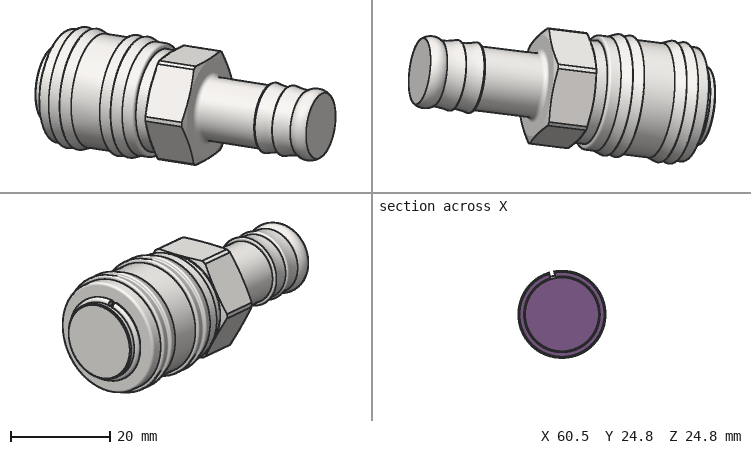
import cadquery as cq
import math


TOTAL_LENGTH = 60.5

NOSE_DIAMETER = 16.0
NOSE_CHAMFER = 0.25
NECK_DIAMETER = 21.0
SHOULDER_X = 13.3

RING_GROOVE_X = 1.2
RING_GROOVE_DIAMETER = 14.95
RING_OUTER_DIAMETER = 17.65
RING_WIRE_DIAMETER = 1.45
RING_CENTRE_X = RING_GROOVE_X + RING_WIRE_DIAMETER / 2
RING_CENTRE_DIAMETER = RING_OUTER_DIAMETER - RING_WIRE_DIAMETER
RING_GAP_WIDTH = 1.0
RING_GAP_ANGLE = 13.8

HEX_START_X = 26.45
HEX_END_X = 35.45
HEX_ACROSS_FLATS = NECK_DIAMETER
HEX_FACE_DIAMETER = 20.6
HEX_CORNER_DIAMETER = 23.7
HEX_CHAMFER_ANGLE = 15.0

TAIL_DIAMETER = 13.0
TAIL_ROOT_FILLET = 1.0
BARB_DIAMETER = 14.45
BARB_LIP_RADIUS = 0.35
BARB_FOOT_DIAMETER = 13.45
BARB_FACES_X = (48.9, 52.95)
BARB_FEET_X = (52.5, 56.95)
BEAD_DIAMETER = 14.7

SLEEVE_START_X = 2.65
SLEEVE_END_X = 24.1
SLEEVE_DIAMETER = 23.3
SLEEVE_END_FILLET = 0.55
NOSE_BORE_DIAMETER = 16.1
BORE_MOUTH_DIAMETER = 16.65
NECK_BORE_DIAMETER = 21.1

RIDGE_PAIR_STARTS_X = (5.2, 16.7)
RIDGE_LENGTH = 2.4
RIDGE_POINT_DIAMETER = 25.1
RIDGE_POINT_FILLET = 0.35
RIDGE_VALLEY_FILLET = 0.25


def revolve_about_x(outline):
    """Turn a closed outline, drawn as (x, radius), into a solid around the X axis."""
    return outline.close().revolve(360, (0, 0, 0), (1, 0, 0))


def cylinder_along_x(start_x, end_x, diameter):
    return cq.Workplane("YZ", origin=(start_x, 0, 0)).circle(diameter / 2).extrude(end_x - start_x)


def fillet_circle(solid, x, diameter, fillet_radius):
    """Round the one circular edge that has this place along X and this diameter."""
    tolerance = 0.005

    def is_wanted(edge):
        return (
            edge.geomType() == "CIRCLE"
            and abs(edge.Center().x - x) < tolerance
            and abs(edge.radius() - diameter / 2) < tolerance
        )

    wanted = [edge for edge in solid.edges().vals() if is_wanted(edge)]
    return solid.newObject(wanted).fillet(fillet_radius)



def make_nose_and_neck():
    nose = cylinder_along_x(0, SHOULDER_X, NOSE_DIAMETER).faces("<X").chamfer(NOSE_CHAMFER)
    neck = cylinder_along_x(SHOULDER_X, HEX_START_X, NECK_DIAMETER)
    groove_end_x = RING_GROOVE_X + RING_WIRE_DIAMETER
    groove = cylinder_along_x(RING_GROOVE_X, groove_end_x, NOSE_DIAMETER).cut(
        cylinder_along_x(RING_GROOVE_X, groove_end_x, RING_GROOVE_DIAMETER)
    )
    return nose.cut(groove).union(neck)


def make_split_ring():
    """Hoop of round wire with a gap near the top."""
    hoop = (
        cq.Workplane("XY")
        .center(RING_CENTRE_X, RING_CENTRE_DIAMETER / 2)
        .circle(RING_WIRE_DIAMETER / 2)
        .revolve(360, (0, -RING_CENTRE_DIAMETER / 2, 0), (1, -RING_CENTRE_DIAMETER / 2, 0))
    )
    gap = (
        cq.Workplane("XY")
        .box(2 * RING_WIRE_DIAMETER, RING_GAP_WIDTH, 2 * RING_WIRE_DIAMETER)
        .translate((RING_CENTRE_X, 0, RING_CENTRE_DIAMETER / 2))
        .rotate((0, 0, 0), (1, 0, 0), RING_GAP_ANGLE)
    )
    return hoop.cut(gap)


def make_hexagon():
    """Hexagon with corners on +Y and -Y, turned to a cone at both ends and round at the corners."""
    across_corners = HEX_ACROSS_FLATS / math.cos(math.radians(30))
    prism = (
        cq.Workplane("YZ", origin=(HEX_START_X, 0, 0))
        .polygon(6, across_corners)
        .extrude(HEX_END_X - HEX_START_X)
    )
    face_radius = HEX_FACE_DIAMETER / 2
    corner_radius = HEX_CORNER_DIAMETER / 2
    chamfer_length = (corner_radius - face_radius) * math.tan(math.radians(HEX_CHAMFER_ANGLE))
    turned_blank = revolve_about_x(
        cq.Workplane("XY")
        .moveTo(HEX_START_X, 0)
        .lineTo(HEX_START_X, face_radius)
        .lineTo(HEX_START_X + chamfer_length, corner_radius)
        .lineTo(HEX_END_X - chamfer_length, corner_radius)
        .lineTo(HEX_END_X, face_radius)
        .lineTo(HEX_END_X, 0)
    )
    return prism.intersect(turned_blank)


def make_hose_tail():
    """Tail with a flared root, two barbs and a rounded bead at its end."""
    tail_radius = TAIL_DIAMETER / 2
    barb_radius = BARB_DIAMETER / 2
    foot_radius = BARB_FOOT_DIAMETER / 2
    outline = (
        cq.Workplane("XY")
        .moveTo(HEX_END_X, 0)
        .lineTo(HEX_END_X, tail_radius + TAIL_ROOT_FILLET)
        .radiusArc((HEX_END_X + TAIL_ROOT_FILLET, tail_radius), -TAIL_ROOT_FILLET)
        .lineTo(BARB_FACES_X[0], tail_radius)
    )
    for face_x, foot_x in zip(BARB_FACES_X, BARB_FEET_X):
        lip_end_x = face_x + BARB_LIP_RADIUS
        slope_length = foot_x - lip_end_x
        slope_drop = barb_radius - foot_radius
        slope_radius = (slope_length**2 + slope_drop**2) / (2 * slope_drop)
        outline = (
            outline.lineTo(face_x, foot_radius)
            .lineTo(face_x, barb_radius - BARB_LIP_RADIUS)
            .radiusArc((lip_end_x, barb_radius), BARB_LIP_RADIUS)
            .radiusArc((foot_x, foot_radius), -slope_radius)
        )
    bead_start_x = BARB_FEET_X[-1]
    bead_middle_x = (bead_start_x + TOTAL_LENGTH) / 2
    outline = outline.threePointArc(
        (bead_middle_x, BEAD_DIAMETER / 2), (TOTAL_LENGTH, foot_radius)
    ).lineTo(TOTAL_LENGTH, 0)
    return revolve_about_x(outline)


def make_core():
    return make_nose_and_neck().union(make_split_ring()).union(make_hexagon()).union(make_hose_tail())



def make_ridged_blank():
    """Solid sleeve blank with its grip ridges, all edges still sharp."""
    sleeve_radius = SLEEVE_DIAMETER / 2
    outline = cq.Workplane("XY").moveTo(SLEEVE_START_X, 0).lineTo(SLEEVE_START_X, sleeve_radius)
    for pair_start_x in RIDGE_PAIR_STARTS_X:
        outline = outline.lineTo(pair_start_x, sleeve_radius)
        for face_x in (pair_start_x, pair_start_x + RIDGE_LENGTH):
            outline = outline.lineTo(face_x, RIDGE_POINT_DIAMETER / 2)
            outline = outline.lineTo(face_x + RIDGE_LENGTH, sleeve_radius)
    outline = outline.lineTo(SLEEVE_END_X, sleeve_radius).lineTo(SLEEVE_END_X, 0)
    return revolve_about_x(outline)


def round_sleeve_edges(sleeve):
    for end_x in (SLEEVE_START_X, SLEEVE_END_X):
        sleeve = fillet_circle(sleeve, end_x, SLEEVE_DIAMETER, SLEEVE_END_FILLET)
    for pair_start_x in RIDGE_PAIR_STARTS_X:
        valley_x = pair_start_x + RIDGE_LENGTH
        for face_x in (pair_start_x, valley_x):
            sleeve = fillet_circle(sleeve, face_x, RIDGE_POINT_DIAMETER, RIDGE_POINT_FILLET)
        sleeve = fillet_circle(sleeve, valley_x, SLEEVE_DIAMETER, RIDGE_VALLEY_FILLET)
    return sleeve


def make_sleeve():
    """Sleeve with a narrow bore over the nose, a wide bore over the neck and a flared mouth."""
    nose_bore = cylinder_along_x(SLEEVE_START_X, SHOULDER_X, NOSE_BORE_DIAMETER)
    neck_bore = cylinder_along_x(SHOULDER_X, SLEEVE_END_X, NECK_BORE_DIAMETER)
    mouth_chamfer = (BORE_MOUTH_DIAMETER - NOSE_BORE_DIAMETER) / 2
    sleeve = round_sleeve_edges(make_ridged_blank()).cut(nose_bore).cut(neck_bore)
    mouth_edge = sleeve.faces("<X").edges(cq.selectors.RadiusNthSelector(0))
    return mouth_edge.chamfer(mouth_chamfer)


core = make_core()
sleeve = make_sleeve()

result = cq.Compound.makeCompound([core.val(), sleeve.val()])